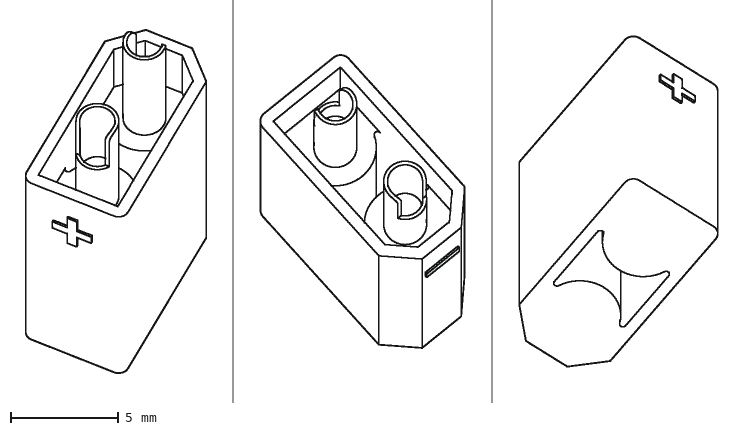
import cadquery as cq
import math

total_height = 15.5
pin_protrusion = 3.0
rim_z = total_height - pin_protrusion
width = 5.25
mark_relief = 0.1
overall_length = 10.45
length = overall_length - 2 * mark_relief
wall = 0.57
corner_chamfer = 1.43
pocket_chamfer = corner_chamfer - wall * (2 - math.sqrt(2))
corner_radius = 0.5
pocket_depth = 3.0

pin_spacing = 5.0
lobe_radius = 1.9
passage_corner_radius = 0.15

pin_diameter = 2.0
cup_diameter = 1.65
cup_depth = 4.0
opening_depth = 2.5
opening_offset = 0.5
lip_radius = 0.5

mark_span = 2.0
mark_stroke = 0.5
mark_drop = 2.5

pin_y = pin_spacing / 2
floor_z = rim_z - pocket_depth
mark_z = rim_z - mark_drop


def chamfered_prism(size_x, size_y, height, chamfer):
    """Rectangular prism whose two +Y upright edges are chamfered."""
    return cq.Workplane("XY").rect(size_x, size_y).extrude(height).edges("|Z and >Y").chamfer(chamfer)


def make_housing():
    shell = chamfered_prism(width, length, rim_z, corner_chamfer)
    shell = shell.edges("|Z and <Y").fillet(corner_radius)
    pocket = chamfered_prism(width - 2 * wall, length - 2 * wall, pocket_depth, pocket_chamfer)
    return shell.cut(pocket.translate((0, 0, floor_z)))


def make_passage():
    """Opening bounded by the side walls and the two lobes, with rounded narrow corners."""
    half_width = width / 2 - wall
    round_x = half_width - passage_corner_radius
    centre_distance = lobe_radius + passage_corner_radius
    round_y = pin_y - math.sqrt(centre_distance**2 - round_x**2)
    tangent_x = round_x * lobe_radius / centre_distance
    tangent_y = pin_y - (pin_y - round_y) * lobe_radius / centre_distance
    top_y = round_y + passage_corner_radius
    lobe_tip_y = pin_y - lobe_radius
    return (
        cq.Workplane("XY")
        .moveTo(half_width, -round_y)
        .lineTo(half_width, round_y)
        .threePointArc((round_x, top_y), (tangent_x, tangent_y))
        .threePointArc((0, lobe_tip_y), (-tangent_x, tangent_y))
        .threePointArc((-round_x, top_y), (-half_width, round_y))
        .lineTo(-half_width, -round_y)
        .threePointArc((-round_x, -top_y), (-tangent_x, -tangent_y))
        .threePointArc((0, -lobe_tip_y), (tangent_x, -tangent_y))
        .threePointArc((round_x, -top_y), (half_width, -round_y))
        .close()
        .extrude(floor_z)
    )


def make_pin():
    """Pin on the Z axis, its solder cup open toward +Y."""
    pin = (
        cq.Workplane("XY", origin=(0, 0, floor_z))
        .circle(pin_diameter / 2)
        .extrude(total_height - floor_z)
        .faces(">Z")
        .workplane()
        .hole(cup_diameter, cup_depth)
    )
    opening_bottom = total_height - opening_depth
    lip_x = opening_offset - lip_radius
    lip_mid = lip_radius * math.sqrt(0.5)
    opening = (
        cq.Workplane("YZ")
        .moveTo(opening_offset, opening_bottom)
        .lineTo(opening_offset, total_height - lip_radius)
        .threePointArc(
            (lip_x + lip_mid, total_height - lip_radius + lip_mid),
            (lip_x, total_height),
        )
        .lineTo(pin_diameter, total_height)
        .lineTo(pin_diameter, opening_bottom)
        .close()
        .extrude(pin_diameter, both=True)
    )
    return pin.cut(opening)


def make_bar(size_x, size_z, side):
    """Raised bar on the -Y (side = -1) or +Y (side = 1) face, half its depth sunk in the wall."""
    return cq.Workplane("XY").box(size_x, 2 * mark_relief, size_z).translate((0, side * length / 2, mark_z))


plus_mark = make_bar(mark_span, mark_stroke, -1).union(make_bar(mark_stroke, mark_span, -1))
minus_mark = make_bar(mark_span, mark_stroke, 1)

rear_pin = make_pin().translate((0, pin_y, 0))
front_pin = rear_pin.mirror("XZ")

result = make_housing().cut(make_passage())
for feature in (rear_pin, front_pin, plus_mark, minus_mark):
    result = result.union(feature)